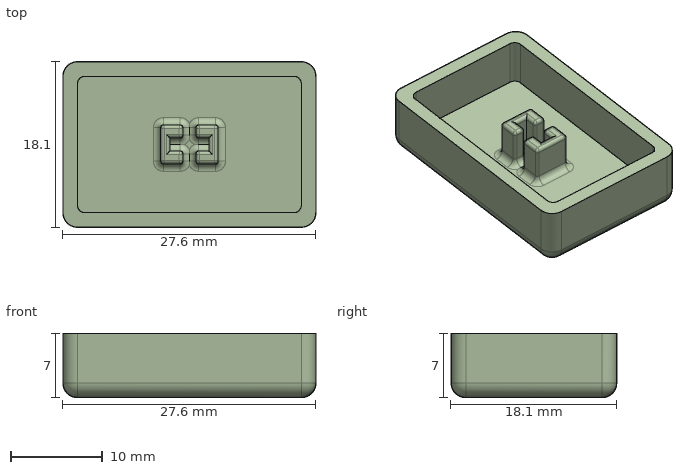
import cadquery as cq

length = 27.57
width = 18.05
height = 7.0
wall = 1.6
floor = 1.6
outer_radius = 1.6
cavity_radius = 0.8

stem_length = 6.25
stem_width = 4.25
stem_height = 4.5
gap = 1.42
slot_length = 4.25
corner_radius = 0.3
top_radius = 0.4
base_radius = 0.8

arm_length = (stem_length - gap) / 2
arm_width = (stem_width - gap) / 2
arm_x = (stem_length + gap) / 4
arm_y = (stem_width + gap) / 4

stem_top = floor + stem_height
foot_top = floor + 1.5 * base_radius
plate_margin = 2 * base_radius


def block(size_x, size_y, bottom, top, x=0.0, y=0.0):
    """Box centred on (x, y) between two heights."""
    base = cq.Workplane("XY", origin=(x, y, bottom))
    return base.rect(size_x, size_y).extrude(top - bottom)


def make_tray():
    """Rounded block hollowed out from above."""
    body = block(length, width, 0, height)
    body = body.edges("|Z").fillet(outer_radius)
    body = body.faces("<Z").edges().fillet(outer_radius)
    cavity = block(length - 2 * wall, width - 2 * wall, floor, height)
    return body.cut(cavity.edges("|Z").fillet(cavity_radius))


def make_c_shape():
    """C-shaped half on the +X side, its rim and convex corners rounded."""
    c_shape = block(arm_length, stem_width, floor, stem_top, x=arm_x)
    c_shape = c_shape.cut(block(slot_length, gap, floor, stem_top))
    slot_corners = cq.selectors.BoxSelector(
        (slot_length / 2 - corner_radius, -gap, floor),
        (slot_length / 2 + corner_radius, gap, stem_top),
    )
    convex_corners = cq.StringSyntaxSelector("|Z") - slot_corners
    c_shape = c_shape.edges(convex_corners).fillet(corner_radius)
    return c_shape.faces(">Z").edges().fillet(top_radius)


def make_arm_flare(y):
    """Foot of the arm centred on y, flared all round onto a plate sunk in the floor."""
    plate = block(
        arm_length + 2 * plate_margin,
        arm_width + 2 * plate_margin,
        floor / 2,
        floor,
        arm_x,
        y,
    )
    foot = block(arm_length, arm_width, floor, foot_top, arm_x, y)
    foot = foot.edges("|Z").fillet(corner_radius)
    reach = base_radius / 4
    joint = cq.selectors.BoxSelector(
        (arm_x - arm_length / 2 - reach, y - arm_width / 2 - reach, floor - reach),
        (arm_x + arm_length / 2 + reach, y + arm_width / 2 + reach, floor + reach),
    )
    return plate.union(foot).edges(joint).fillet(base_radius)


def make_end_flare():
    """Straight flare along the outer end of the half, bridging its two arms."""
    run = stem_width - 2 * corner_radius
    end_x = stem_length / 2
    return (
        cq.Workplane("XZ", origin=(0, run / 2, 0))
        .moveTo(end_x, floor)
        .lineTo(end_x + base_radius, floor)
        .radiusArc((end_x, floor + base_radius), base_radius)
        .close()
        .extrude(run)
    )


def make_half_stem():
    """C-shaped half with the flares around its foot."""
    half = make_c_shape()
    for y in (arm_y, -arm_y):
        half = half.union(make_arm_flare(y))
    return half.union(make_end_flare())


half_stem = make_half_stem()
result = make_tray().union(half_stem).union(half_stem.mirror("YZ"))